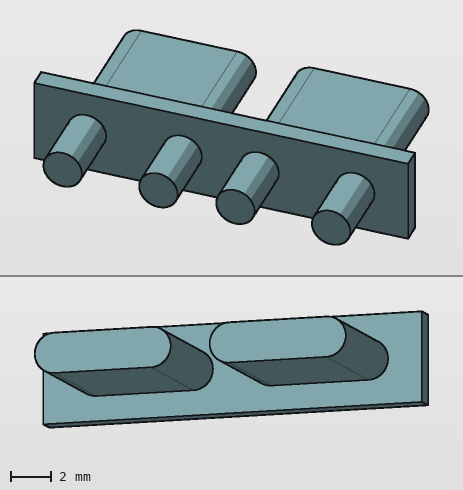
import cadquery as cq

plate_width = 19.5
plate_height = 4.5
plate_thickness = 1.0
total_depth = 11.0

pin_diameter = 2.0
pin_length = 3.4
pin_pitch = 5.0
pair_pitch = 9.0

blade_length = total_depth - plate_thickness - pin_length
blade_width = pin_pitch + pin_diameter
pair_centers = [(-pair_pitch / 2, 0), (pair_pitch / 2, 0)]
pin_centers = [
    (pair_x + side * pin_pitch / 2, 0)
    for pair_x, _ in pair_centers
    for side in (-1, 1)
]

front_face = cq.Workplane("XZ")
back_face = front_face.workplane(offset=-plate_thickness)

plate = front_face.rect(plate_width, plate_height).extrude(-plate_thickness)

pins = front_face.pushPoints(pin_centers).circle(pin_diameter / 2).extrude(pin_length)

blades = back_face.pushPoints(pair_centers).slot2D(blade_width, pin_diameter).extrude(-blade_length)

result = plate.union(pins).union(blades)